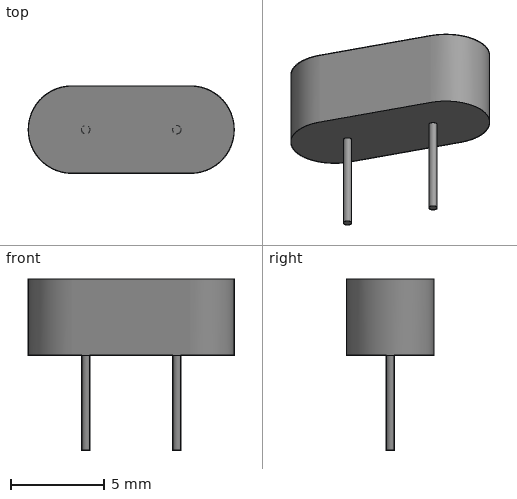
import cadquery as cq

case_length = 11.05
case_width = 4.7
case_height = 4.1

lead_diameter = 0.45
lead_length = 5.1
lead_pitch = 4.88


def make_case():
    """Rounded-end block standing on the XY plane."""
    return cq.Workplane("XY").slot2D(case_length, case_width).extrude(case_height)


def make_lead(x):
    """Round pin hanging from the underside of the case at the given X."""
    return cq.Workplane("XY").center(x, 0).circle(lead_diameter / 2).extrude(-lead_length)


case = make_case()
leads = [make_lead(side * lead_pitch / 2) for side in (-1, 1)]

result = cq.Compound.makeCompound([case.val(), *[lead.val() for lead in leads]])